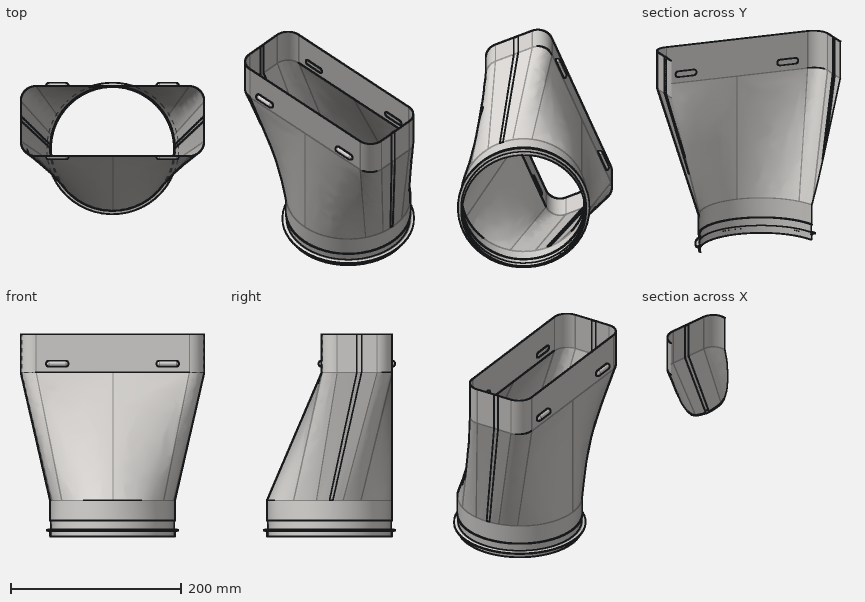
import cadquery as cq
import math

wall = 0.6
total_height = 237.8

spigot_diameter = 147.2
groove_diameter = 145.3
spigot_height = 42.8
groove_bottom = 7.1
groove_top = 18.5
rim_round = 1.5

seal_diameter = 154.8
seal_root_bottom = 6.2
seal_root_top = 9.0
seal_lip_bottom = 7.1
seal_lip_top = 8.0

socket_width = 216.0
socket_depth = 83.0
socket_corner = 18.0
socket_height = 45.0

bead_length = 26.6
bead_radius = 3.5
bead_spacing = 129.6
bead_z = 203.1
bead_inner_rise = 0.12

seam_width = 5.5
seam_angle = 3.1

side_end_angle = 12.3
front_end_angle = 35.4
back_end_angle = 30.0

spigot_radius = spigot_diameter / 2
socket_bottom = total_height - socket_height
socket_back = spigot_radius
socket_front = socket_back - socket_depth
seam_front = (socket_back + socket_front) / 2
seam_back = seam_front + seam_width


def circle_wire(radius, z):
    """Circle split into arcs, one for each edge of the socket outline."""
    lower_right = [-90, -front_end_angle, -side_end_angle, 0]
    upper_right = [seam_angle, side_end_angle, back_end_angle, 90]
    right_half = lower_right + upper_right
    left_half = [180 - angle for angle in reversed(right_half[:-1])]
    angles = right_half + left_half

    def point(angle):
        turn = math.radians(angle)
        return cq.Vector(radius * math.cos(turn), radius * math.sin(turn), z)

    edges = []
    for start, end in zip(angles, angles[1:]):
        edges.append(cq.Edge.makeThreePointArc(point(start), point((start + end) / 2), point(end)))
    return cq.Wire.assembleEdges(edges)


def socket_wire(inset, z):
    """Rounded rectangle, starting at the middle of the front side and running anticlockwise."""
    half_width = socket_width / 2 - inset
    front = socket_front + inset
    back = socket_back - inset
    radius = socket_corner - inset
    straight = half_width - radius
    diagonal = radius * (1 - math.sqrt(0.5))
    outline = (
        cq.Workplane("XY", origin=(0, 0, z))
        .moveTo(0, front)
        .lineTo(straight, front)
        .threePointArc((half_width - diagonal, front + diagonal), (half_width, front + radius))
        .lineTo(half_width, seam_front)
        .lineTo(half_width, seam_back)
        .lineTo(half_width, back - radius)
        .threePointArc((half_width - diagonal, back - diagonal), (straight, back))
        .lineTo(0, back)
        .lineTo(-straight, back)
        .threePointArc((diagonal - half_width, back - diagonal), (-half_width, back - radius))
        .lineTo(-half_width, seam_back)
        .lineTo(-half_width, seam_front)
        .lineTo(-half_width, front + radius)
        .threePointArc((diagonal - half_width, front + diagonal), (-straight, front))
        .close()
    )
    return outline.val()


def transition_body(inset):
    """Solid between the spigot circle and the socket outline, ruled by straight lines."""
    bottom = circle_wire(spigot_radius - inset, spigot_height)
    top = socket_wire(inset, socket_bottom)
    return cq.Workplane(cq.Solid.makeLoft([bottom, top], True))


def socket_body(inset):
    outline = socket_wire(inset, socket_bottom)
    return cq.Workplane(cq.Solid.extrudeLinear(outline, [], cq.Vector(0, 0, socket_height)))


def ring(outer_diameter, inner_diameter, bottom, top):
    return (
        cq.Workplane("XY", origin=(0, 0, bottom))
        .circle(outer_diameter / 2)
        .circle(inner_diameter / 2)
        .extrude(top - bottom)
    )


def seal():
    """Ring with a tapered section, turned about the Z axis."""
    root = groove_diameter / 2 - wall
    lip = seal_diameter / 2
    section = [
        (root, seal_root_bottom),
        (spigot_radius, seal_root_bottom),
        (lip, seal_lip_bottom),
        (lip, seal_lip_top),
        (spigot_radius, seal_root_top),
        (root, seal_root_top),
    ]
    return cq.Workplane("XZ").polyline(section).close().revolve(360, (0, 0, 0), (0, 1, 0))


def spigot():
    """Tube with a shallow groove and a sealing ring above its rounded lower rim."""
    bore = groove_diameter - 2 * wall
    upper_bore = spigot_diameter - 2 * wall
    groove = ring(groove_diameter, bore, groove_bottom, groove_top + wall)
    lower_rim = ring(spigot_diameter, bore, 0, groove_bottom)
    lower_rim = lower_rim.faces("<Z").edges(cq.selectors.RadiusNthSelector(-1)).fillet(rim_round)
    step = ring(spigot_diameter, bore, groove_top, groove_top + wall)
    upper_tube = ring(spigot_diameter, upper_bore, groove_top, spigot_height)
    return lower_rim.union(groove).union(step).union(upper_tube).union(seal())


def seam_strip():
    """Inner layer of the lap on the +X side, sunk half a wall into the outer layer."""
    top_x = socket_width / 2

    def section(outer_x, front, back, z):
        inner_x = outer_x - 2 * wall
        sunk_x = outer_x - wall / 2
        thickness = sunk_x - inner_x
        center = ((inner_x + sunk_x) / 2, (front + back) / 2, z)
        return cq.Workplane("XY", origin=center).rect(thickness, back - front).wires().val()

    bottom_back = spigot_radius * math.sin(math.radians(seam_angle))
    bottom = section(spigot_radius, 0, bottom_back, spigot_height)
    middle = section(top_x, seam_front, seam_back, socket_bottom)
    sloped = cq.Workplane(cq.Solid.makeLoft([bottom, middle], True))
    upright = cq.Workplane(cq.Solid.extrudeLinear(middle, [], cq.Vector(0, 0, socket_height)))
    return sloped.union(upright)


def bead(x, y):
    """Round-ended bar lying along X."""
    straight = bead_length - 2 * bead_radius
    bar = cq.Workplane("YZ", origin=(x - straight / 2, y, bead_z)).circle(bead_radius).extrude(straight)
    for end in (-straight / 2, straight / 2):
        bar = bar.union(cq.Workplane("XY", origin=(x + end, y, bead_z)).sphere(bead_radius))
    return bar


def socket():
    """Upright rectangular tube with two beads on its front wall and two on its back wall."""
    beads = cq.Workplane()
    for x in (-bead_spacing / 2, bead_spacing / 2):
        for y in (socket_front, socket_back):
            beads = beads.add(bead(x, y))
    beads = beads.combine().cut(socket_body(wall + bead_inner_rise))
    return socket_body(0).cut(socket_body(wall)).union(beads)


transition = transition_body(0).cut(transition_body(wall))
right_seam = seam_strip()
left_seam = right_seam.mirror("YZ")
result = spigot().union(transition).union(socket()).union(right_seam).union(left_seam)